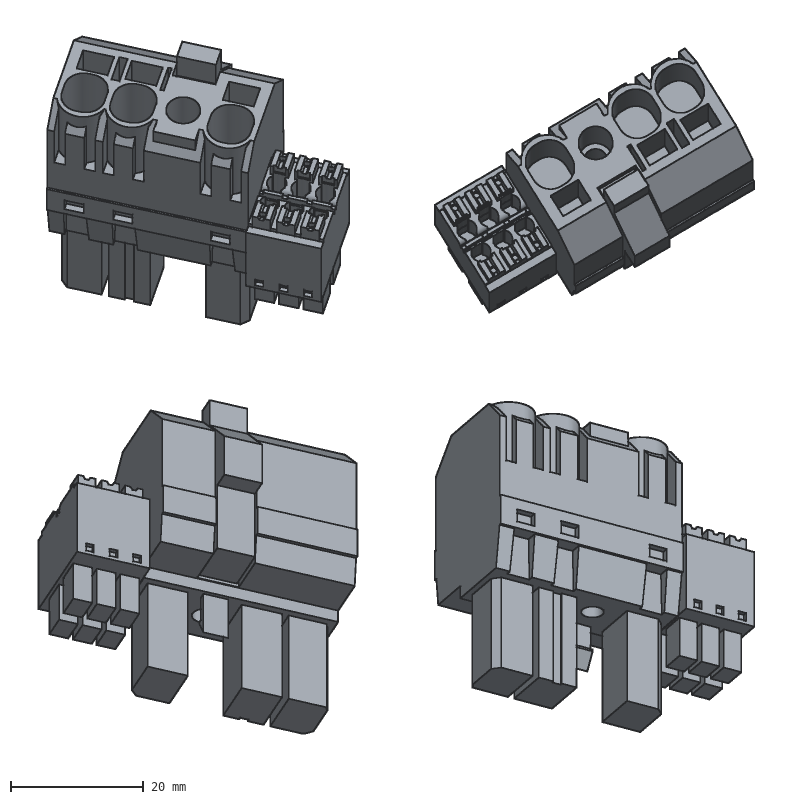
import cadquery as cq
import math


FIRST_POLE_X = 4.3
LAST_POLE_X = 27.15
POLE_PITCH = (LAST_POLE_X - FIRST_POLE_X) / 3
FLANGE_X = FIRST_POLE_X + 2 * POLE_PITCH
POLE_XS = [FIRST_POLE_X + i * POLE_PITCH for i in (0, 1, 3)]

HOUSING_LENGTH = 31.45
HOUSING_DEPTH = 19.9
HOUSING_HEIGHT = 29.2
FRONT_CHAMFER_Y = 3.45
FRONT_CHAMFER_Z = 3.6
BACK_CHAMFER = 4.85
BAND_BOTTOM = 6.85
BAND_TOP = 11.85
BAND_PROUD = 0.35
TAPER_TOP_INSET_FRONT = 0.1
TAPER_TOP_INSET_BACK = 0.2
BASE_FRONT = 1.2
BASE_BACK = 12.25
STEP_HEIGHT = 2.1
STEP_BACK = 19.15

FUNNEL_Y = 4.95
FUNNEL_OUTER_RADIUS = 4.0
FUNNEL_FLOOR = 18.15
WIRE_HOLE_WIDTH = 6.7
WIRE_HOLE_END_FLAT = 0.7
WIRE_HOLE_DEPTH_Y = 7.5
WIRE_HOLE_FRONT = 1.9
SLOT_OUTER_WIDTH = 6.4
TONGUE_WIDTH = 3.0

POCKET_WIDTH = 4.85
POCKET_FRONT = 9.87
POCKET_BACK = 13.55
NARROW_SLOTS = [(7.5, 1.3), (15.1, 0.55)]
NARROW_SLOT_FRONT = 9.25
NARROW_SLOT_BACK = 13.75

WINDOW_WIDTH = 3.0
WINDOW_BOTTOM = 7.95
WINDOW_HEIGHT = 2.1
WINDOW_DEPTH = 1.1
RECESS_BOTTOM_WIDTH = 3.8
RECESS_TOP_WIDTH = 3.55
RECESS_BACK = 2.0

FLANGE_WIDTH = 6.6
FLANGE_FRONT = 1.2
FLANGE_BOTTOM = 25.75
SCREW_Y = 6.35
SCREW_HOLE_RADIUS = 1.7
SCREW_HEAD_RADIUS = 2.58
SCREW_HEAD_FLOOR = FUNNEL_FLOOR

NOTCH_WIDTH = 6.73
NOTCH_FRONT = 12.45
LATCH_WIDTH = 6.1
LATCH_BOTTOM = 2.65
LATCH_BACK = 22.85
LATCH_GRIP_BOTTOM = 14.35
LATCH_GRIP_TOP = 21.5
LATCH_KEY_FRONT = 13.8
LATCH_KEY_BACK = 16.8
LATCH_TOP = 32.25
LATCH_ROOT_TOP = 27.65

HOOK_WIDTH = 4.05
HOOK_CENTER_X = 19.55
HOOK_BACK = 11.65
HOOK_ARM_FRONT = 10.6
HOOK_TOE_FRONT = 9.95
HOOK_TOE_TOP = -4.15
HOOK_TOE_FACE = 0.35
HOOK_BOTTOM = -7.15

SHELL_WIDTH = 6.55
SHELL_LENGTH = 15.45
SHELL_FRONT = 3.45
SHELL_BACK = 11.1
SHELL_CHAMFER = 1.15
KEY_GROOVE_X = 11.15
KEY_GROOVE_WIDTH = 1.45
KEY_GROOVE_DEPTH = 0.4
CORNER_NOTCH_Y = 10.85
CORNER_NOTCH_DEPTH = 0.4

SIGNAL_LENGTH = 11.8
FIRST_SIGNAL_X = 33.5
SIGNAL_PITCH = 3.8
SIGNAL_XS = [FIRST_SIGNAL_X + i * SIGNAL_PITCH for i in range(3)]
SIGNAL_MID_Y = 6.7
SIGNAL_FRONT = -1.3
SIGNAL_BOTTOM = 0.15
SIGNAL_WALL_TOP = 12.95
PLATFORM_TOP = 13.55
PLATFORM_BACK = 6.05
PLATFORM_ROUND = 0.8
DIVIDER_FRONT = 6.4
DIVIDER_TOP = 13.15
GROOVE_FLOOR = 12.4
DIVIDER_RIDGE_WIDTH = 3.0
SIGNAL_HOLE_RADIUS = 1.5
SIGNAL_HOLE_Y = 4.65
SIGNAL_HOLE_FLOOR = 5.72
SIGNAL_HOLE_FLAT = 1.95
SIGNAL_WINDOW_WIDTH = 1.3
SIGNAL_WINDOW_BOTTOM = 0.75
SIGNAL_WINDOW_HEIGHT = 1.35
SIGNAL_WINDOW_DEPTH = 0.7
SIGNAL_SHELL_WIDTH = 3.05
SIGNAL_SHELL_FRONT = 1.7
SIGNAL_SHELL_BACK = 5.75
SIGNAL_SHELL_BOTTOM = -6.4

LEVER_WIDTH = 2.85
LEVER_DEPTH = 3.2
LEVER_FLOOR = 9.55
LEVER_TOP = 15.45
LEVER_NOTCH_WIDTH = 1.95
LEVER_NOTCH_FRONT = 2.9
LEVER_NOTCH_DEPTH = 1.45
LEVER_GROOVE_TOP_WIDTH = 1.15
LEVER_GROOVE_FLOOR_WIDTH = 0.55
LEVER_GROOVE_DEPTH = 0.5
PROBE_HOLE_Y = 1.05
PROBE_HOLE_RADIUS = 0.52
PROBE_HOLE_DEPTH = 1.45


def block(x_range, y_range, z_range):
    """Box between two limits on each axis."""
    ranges = (x_range, y_range, z_range)
    low_corner = tuple(low for low, _ in ranges)
    sizes = [high - low for low, high in ranges]
    return cq.Workplane("XY").box(*sizes, centered=False).translate(low_corner)


def span(center, width):
    """Limits of a width that is centred on a place."""
    return (center - width / 2, center + width / 2)


def side_profile(points, x_range):
    """Extrude a (Y, Z) polygon along X."""
    low, high = x_range
    return cq.Workplane("YZ", origin=(low, 0, 0)).polyline(points).close().extrude(high - low)


def front_profile(points, y_range):
    """Extrude an (X, Z) polygon along Y."""
    low, high = y_range
    return cq.Workplane("XZ", origin=(0, low, 0)).polyline(points).close().extrude(low - high)


def post(x, y, radius, z_range):
    """Upright cylinder."""
    low, high = z_range
    return cq.Workplane("XY", origin=(x, y, low)).circle(radius).extrude(high - low)


def housing_shell():
    outline = [
        (BASE_FRONT, 0),
        (BASE_BACK, 0),
        (BASE_BACK, STEP_HEIGHT),
        (STEP_BACK, STEP_HEIGHT),
        (HOUSING_DEPTH - TAPER_TOP_INSET_BACK, BAND_BOTTOM),
        (HOUSING_DEPTH + BAND_PROUD, BAND_BOTTOM),
        (HOUSING_DEPTH + BAND_PROUD, BAND_TOP),
        (HOUSING_DEPTH, BAND_TOP),
        (HOUSING_DEPTH, HOUSING_HEIGHT - BACK_CHAMFER),
        (HOUSING_DEPTH - BACK_CHAMFER, HOUSING_HEIGHT),
        (FRONT_CHAMFER_Y, HOUSING_HEIGHT),
        (0, HOUSING_HEIGHT - FRONT_CHAMFER_Z),
        (0, BAND_TOP),
        (-BAND_PROUD, BAND_TOP),
        (-BAND_PROUD, BAND_BOTTOM),
        (TAPER_TOP_INSET_FRONT, BAND_BOTTOM),
    ]
    return side_profile(outline, (0, HOUSING_LENGTH))


def funnel_wall(x):
    return post(x, FUNNEL_Y, FUNNEL_OUTER_RADIUS, (FUNNEL_FLOOR, HOUSING_HEIGHT))


def funnel_slots(x):
    """Two slots in front of the funnel wall, either side of a tongue."""
    z_range = (FUNNEL_FLOOR, HOUSING_HEIGHT)
    opening = block(span(x, SLOT_OUTER_WIDTH), (0, FUNNEL_Y), z_range)
    tongue = block(span(x, TONGUE_WIDTH), (0, FUNNEL_Y), z_range)
    return opening.cut(tongue).cut(funnel_wall(x))


def wire_hole(x):
    """Upright hole with heavily rounded corners that leave a short flat at each end."""
    corner_radius = (WIRE_HOLE_WIDTH - WIRE_HOLE_END_FLAT) / 2
    y_range = (WIRE_HOLE_FRONT, WIRE_HOLE_FRONT + WIRE_HOLE_DEPTH_Y)
    hole = block(span(x, WIRE_HOLE_WIDTH), y_range, (FUNNEL_FLOOR, HOUSING_HEIGHT))
    return hole.edges("|Z").fillet(corner_radius)


def release_pocket(x):
    return block(span(x, POCKET_WIDTH), (POCKET_FRONT, POCKET_BACK), (FUNNEL_FLOOR, HOUSING_HEIGHT))


def band_window(x):
    return block(
        span(x, WINDOW_WIDTH),
        (-BAND_PROUD, WINDOW_DEPTH - BAND_PROUD),
        (WINDOW_BOTTOM, WINDOW_BOTTOM + WINDOW_HEIGHT),
    )


def taper_recess(x):
    """Upright flat sunk in the tapered front, slightly wider at the bottom."""
    bottom_left, bottom_right = span(x, RECESS_BOTTOM_WIDTH)
    top_left, top_right = span(x, RECESS_TOP_WIDTH)
    outline = [
        (bottom_left, 0),
        (bottom_right, 0),
        (top_right, BAND_BOTTOM),
        (top_left, BAND_BOTTOM),
    ]
    return front_profile(outline, (0, RECESS_BACK))


def latch():
    """Latch lever that joins the housing on the floor of the back notch."""
    slope = LATCH_BACK - LATCH_KEY_BACK
    outline = [
        (NOTCH_FRONT, LATCH_BOTTOM),
        (HOUSING_DEPTH, LATCH_BOTTOM),
        (HOUSING_DEPTH, LATCH_GRIP_BOTTOM),
        (LATCH_BACK, LATCH_GRIP_BOTTOM),
        (LATCH_BACK, LATCH_GRIP_TOP),
        (LATCH_KEY_BACK, LATCH_GRIP_TOP + slope),
        (LATCH_KEY_BACK, LATCH_TOP),
        (LATCH_KEY_FRONT, LATCH_TOP),
        (LATCH_KEY_FRONT, LATCH_ROOT_TOP),
        (NOTCH_FRONT, LATCH_ROOT_TOP),
    ]
    return side_profile(outline, span(FLANGE_X, LATCH_WIDTH))


def hook():
    """Snap hook whose toe points forward."""
    outline = [
        (HOOK_ARM_FRONT, 0),
        (HOOK_ARM_FRONT, HOOK_TOE_TOP),
        (HOOK_TOE_FRONT, HOOK_TOE_TOP),
        (HOOK_TOE_FRONT, HOOK_TOE_TOP - HOOK_TOE_FACE),
        (HOOK_BACK, HOOK_BOTTOM),
        (HOOK_BACK, 0),
    ]
    return side_profile(outline, span(HOOK_CENTER_X, HOOK_WIDTH))


def contact_shells():
    """Shells under the poles, each keyed differently."""
    left, middle, right = [
        block(span(x, SHELL_WIDTH), (SHELL_FRONT, SHELL_BACK), (-SHELL_LENGTH, 0)) for x in POLE_XS
    ]
    left = left.edges("|Z and <X and <Y").chamfer(SHELL_CHAMFER)
    left_face = POLE_XS[0] - SHELL_WIDTH / 2
    notch_wall = left_face + CORNER_NOTCH_DEPTH
    corner_notch = (
        cq.Workplane("XY", origin=(0, 0, -SHELL_LENGTH))
        .moveTo(left_face, CORNER_NOTCH_Y - CORNER_NOTCH_DEPTH)
        .lineTo(notch_wall, CORNER_NOTCH_Y)
        .lineTo(notch_wall, SHELL_BACK)
        .lineTo(left_face, SHELL_BACK)
        .close()
        .extrude(SHELL_LENGTH)
    )
    left = left.cut(corner_notch)
    middle = middle.cut(
        block(
            (KEY_GROOVE_X, KEY_GROOVE_X + KEY_GROOVE_WIDTH),
            (SHELL_FRONT, SHELL_FRONT + KEY_GROOVE_DEPTH),
            (-SHELL_LENGTH, 0),
        )
    )
    right = right.edges("|Z and >X and <Y").chamfer(SHELL_CHAMFER)
    return [left, middle, right]


def make_housing():
    body = housing_shell()
    for x in POLE_XS:
        body = body.cut(funnel_slots(x)).union(funnel_wall(x))
    for x in POLE_XS:
        for cutter in (wire_hole(x), release_pocket(x), band_window(x), taper_recess(x)):
            body = body.cut(cutter)
    for left, width in NARROW_SLOTS:
        body = body.cut(
            block(
                (left, left + width),
                (NARROW_SLOT_FRONT, NARROW_SLOT_BACK),
                (FUNNEL_FLOOR, HOUSING_HEIGHT),
            )
        )

    flange = block(
        span(FLANGE_X, FLANGE_WIDTH), (FLANGE_FRONT, SCREW_Y), (FLANGE_BOTTOM, HOUSING_HEIGHT)
    )
    body = body.union(flange)
    body = body.cut(post(FLANGE_X, SCREW_Y, SCREW_HOLE_RADIUS, (0, HOUSING_HEIGHT)))
    body = body.cut(post(FLANGE_X, SCREW_Y, SCREW_HEAD_RADIUS, (SCREW_HEAD_FLOOR, HOUSING_HEIGHT)))

    notch = block(span(FLANGE_X, NOTCH_WIDTH), (NOTCH_FRONT, LATCH_BACK), (0, HOUSING_HEIGHT))
    body = body.cut(notch).union(latch()).union(hook())
    for shell in contact_shells():
        body = body.union(shell)
    return body


def lever_pocket(x):
    return block(span(x, LEVER_WIDTH), (0, LEVER_DEPTH), (LEVER_FLOOR, LEVER_TOP))


def signal_wire_hole(x):
    """Round hole widened to a flat at the lever and at the edge of the platform."""
    z_range = (SIGNAL_HOLE_FLOOR, LEVER_TOP)
    flats = block(span(x, SIGNAL_HOLE_FLAT), (LEVER_DEPTH, PLATFORM_BACK), z_range)
    return post(x, SIGNAL_HOLE_Y, SIGNAL_HOLE_RADIUS, z_range).union(flats)


def signal_half():
    """Front half of the signal block, up to its plane of symmetry."""
    round_end = PLATFORM_TOP - PLATFORM_ROUND
    round_start = PLATFORM_BACK - PLATFORM_ROUND
    arc_middle = PLATFORM_ROUND * math.sqrt(0.5)
    half = (
        cq.Workplane("YZ", origin=(HOUSING_LENGTH, 0, 0))
        .moveTo(SIGNAL_FRONT, SIGNAL_BOTTOM)
        .lineTo(SIGNAL_FRONT, SIGNAL_WALL_TOP)
        .lineTo(0, SIGNAL_WALL_TOP)
        .lineTo(0, PLATFORM_TOP)
        .lineTo(round_start, PLATFORM_TOP)
        .threePointArc(
            (round_start + arc_middle, round_end + arc_middle), (PLATFORM_BACK, round_end)
        )
        .lineTo(PLATFORM_BACK, GROOVE_FLOOR)
        .lineTo(DIVIDER_FRONT, GROOVE_FLOOR)
        .lineTo(DIVIDER_FRONT, DIVIDER_TOP)
        .lineTo(SIGNAL_MID_Y, DIVIDER_TOP)
        .lineTo(SIGNAL_MID_Y, SIGNAL_BOTTOM)
        .close()
        .extrude(SIGNAL_LENGTH)
    )
    for x in SIGNAL_XS:
        window = block(
            span(x, SIGNAL_WINDOW_WIDTH),
            (SIGNAL_FRONT, SIGNAL_FRONT + SIGNAL_WINDOW_DEPTH),
            (SIGNAL_WINDOW_BOTTOM, SIGNAL_WINDOW_BOTTOM + SIGNAL_WINDOW_HEIGHT),
        )
        divider_ridge = block(
            span(x, DIVIDER_RIDGE_WIDTH), (DIVIDER_FRONT, SIGNAL_MID_Y), (DIVIDER_TOP, PLATFORM_TOP)
        )
        shell = block(
            span(x, SIGNAL_SHELL_WIDTH),
            (SIGNAL_SHELL_FRONT, SIGNAL_SHELL_BACK),
            (SIGNAL_SHELL_BOTTOM, SIGNAL_BOTTOM),
        )
        for cutter in (window, lever_pocket(x), signal_wire_hole(x)):
            half = half.cut(cutter)
        half = half.union(divider_ridge).union(shell)
    return half


def mirrored(body):
    """Copy of a body on the other side of the signal block's plane of symmetry."""
    return body.mirror("XZ", (0, SIGNAL_MID_Y, 0))


def make_signal_block():
    half = signal_half()
    return half.union(mirrored(half))


def make_lever(x):
    """Push lever of the front row, with a grooved top and a probe hole."""
    top_left, top_right = span(x, LEVER_GROOVE_TOP_WIDTH)
    floor_left, floor_right = span(x, LEVER_GROOVE_FLOOR_WIDTH)
    groove = [
        (top_left, LEVER_TOP),
        (floor_left, LEVER_TOP - LEVER_GROOVE_DEPTH),
        (floor_right, LEVER_TOP - LEVER_GROOVE_DEPTH),
        (top_right, LEVER_TOP),
    ]
    lever = lever_pocket(x).cut(front_profile(groove, (0, LEVER_DEPTH)))
    notch = block(
        span(x, LEVER_NOTCH_WIDTH),
        (LEVER_NOTCH_FRONT, LEVER_DEPTH),
        (LEVER_TOP - LEVER_NOTCH_DEPTH, LEVER_TOP),
    )
    lever = lever.cut(notch).cut(signal_wire_hole(x))
    probe_range = (LEVER_TOP - PROBE_HOLE_DEPTH, LEVER_TOP)
    return lever.cut(post(x, PROBE_HOLE_Y, PROBE_HOLE_RADIUS, probe_range))


housing = make_housing()
signal_block = make_signal_block()
front_levers = [make_lever(x) for x in SIGNAL_XS]
back_levers = [mirrored(lever) for lever in front_levers]

result = cq.Compound.makeCompound(
    [
        housing.val(),
        signal_block.val(),
        *[lever.val() for lever in front_levers + back_levers],
    ]
)